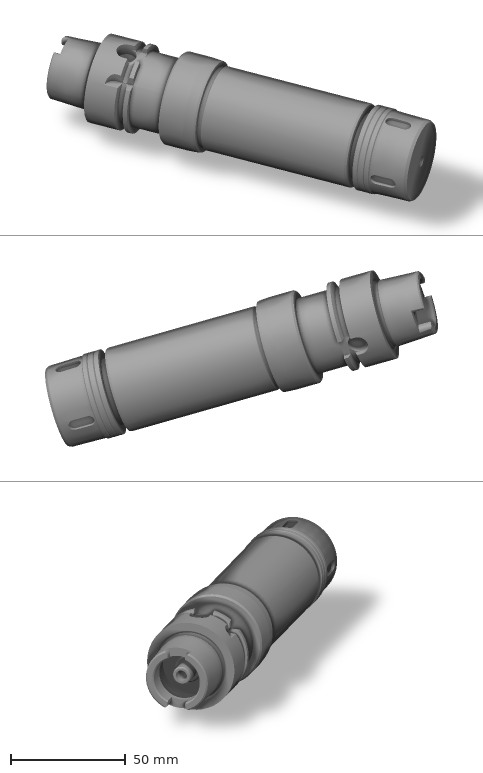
import cadquery as cq
import math


SHANK_LENGTH = 20.0
TAPER_RATIO = 0.1
TAPER_LARGE_D = 30.3
SHANK_CHAMFER = 0.6
RELIEF_START = -2.1
RELIEF_D = 28.8
RELIEF_RUN_IN = 0.5
RELIEF_FLOOR_END = -0.6
FACE_RECESS_D = 32.6
FACE_RECESS_INNER_D = 31.0
FACE_RECESS_DEPTH = 0.4

FLANGE_D = 40.0
FLANGE_LENGTH = 20.0
NECK_D = 34.2
GROOVE_LEFT = 14.1
GROOVE_FLOOR_LEFT = 14.9
GROOVE_FLOOR_RIGHT = 16.9
GROOVE_RIGHT = 18.1

COLLAR_START = 35.0
COLLAR_END = 52.1
COLLAR_D = 42.0
COLLAR_STEP_X = 46.7
COLLAR_REAR_D = 41.4
COLLAR_CHAMFER = 0.9
COLLAR_CHAMFER_DEPTH = 0.7
COLLAR_REAR_CHAMFER = 0.9
COLLAR_REAR_CHAMFER_DEPTH = 0.2

BODY_NECK_D = 36.4
BODY_START = 53.8
BODY_END = 122.1
BODY_D = 37.85
BODY_FRONT_CHAMFER = 0.6
BODY_REAR_CHAMFER = 1.0
BODY_REAR_CHAMFER_DEPTH = 0.3
NUT_NECK_D = 30.0

NUT_START = 125.1
NUT_END = 150.0
RING_D = 38.4
RING_END = 132.8
RING_END_CHAMFER = 0.4
RING_GROOVE_CENTRES = (127.4, 130.3)
RING_GROOVE_WIDTH = 0.7
RING_GROOVE_DEPTH = 0.4
NUT_LARGE_D = 37.4
NUT_SMALL_D = 36.7
NUT_CHAMFER_LENGTH = 1.3
NUT_END_D = 35.4

SPANNER_SLOT_COUNT = 4
SPANNER_SLOT_WIDTH = 5.0
SPANNER_SLOT_LENGTH = 11.7
SPANNER_SLOT_CENTRE = 139.1
SPANNER_SLOT_FLOOR = 17.0

BORE_MOUTH_D = 22.1
BORE_D = 21.0
BORE_UNDERCUT_D = 25.5
BORE_STRAIGHT_END = -12.0
BORE_UNDERCUT_CONE = 2.0
BORE_FLOOR = 0.0
TUBE_NUT_D = 12.0
TUBE_NUT_START = -4.0
TUBE_D = 8.0
TUBE_START = -13.0
TUBE_CHAMFER = 0.5
COOLANT_HOLE_D = 5.0

DRIVE_SLOT_WIDTH = 8.0
DRIVE_SLOT_ROUND = 2.2
DRIVE_ROUND_START = 10.9
TOP_DRIVE_DEPTH = 3.2
BOTTOM_DRIVE_DEPTH = 5.8

POCKET_D = 8.8
POCKET_CENTRE_X = 12.1
POCKET_FLOOR = 14.0
POCKET_SLOT_FLOOR = 17.0
NOTCH_OFFSET = 12.0
NOTCH_START = 8.1
NOTCH_END_RADIUS = 4.0


def revolve_profile(points):
    """Turn a closed outline of (x, radius) points about the X axis."""
    return cq.Workplane("XY").polyline(points).close().revolve(360, (0, 0, 0), (1, 0, 0))


def make_outside():
    """Turned outside of the holder, from the shank end to the nut face."""
    shank_end_r = TAPER_LARGE_D / 2 - SHANK_LENGTH * TAPER_RATIO / 2
    taper_end_r = TAPER_LARGE_D / 2 + RELIEF_START * TAPER_RATIO / 2
    chamfer_r = shank_end_r + SHANK_CHAMFER * TAPER_RATIO / 2
    points = [
        (-SHANK_LENGTH, 0),
        (-SHANK_LENGTH, shank_end_r - SHANK_CHAMFER),
        (-SHANK_LENGTH + SHANK_CHAMFER, chamfer_r),
        (RELIEF_START, taper_end_r),
        (RELIEF_START + RELIEF_RUN_IN, RELIEF_D / 2),
        (RELIEF_FLOOR_END, RELIEF_D / 2),
        (FACE_RECESS_DEPTH, FACE_RECESS_INNER_D / 2),
        (0, FACE_RECESS_D / 2),
        (0, FLANGE_D / 2),
        (GROOVE_LEFT, FLANGE_D / 2),
        (GROOVE_FLOOR_LEFT, NECK_D / 2),
        (GROOVE_FLOOR_RIGHT, NECK_D / 2),
        (GROOVE_RIGHT, FLANGE_D / 2),
        (FLANGE_LENGTH, FLANGE_D / 2),
        (FLANGE_LENGTH, NECK_D / 2),
        (COLLAR_START, NECK_D / 2),
        (COLLAR_START, COLLAR_D / 2 - COLLAR_CHAMFER_DEPTH),
        (COLLAR_START + COLLAR_CHAMFER, COLLAR_D / 2),
        (COLLAR_STEP_X, COLLAR_D / 2),
        (COLLAR_END - COLLAR_REAR_CHAMFER, COLLAR_REAR_D / 2),
        (COLLAR_END, COLLAR_REAR_D / 2 - COLLAR_REAR_CHAMFER_DEPTH),
        (COLLAR_END, BODY_NECK_D / 2),
        (BODY_START, BODY_NECK_D / 2),
        (BODY_START + BODY_FRONT_CHAMFER, BODY_D / 2),
        (BODY_END - BODY_REAR_CHAMFER, BODY_D / 2),
        (BODY_END, BODY_D / 2 - BODY_REAR_CHAMFER_DEPTH),
        (BODY_END, NUT_NECK_D / 2),
        (NUT_START, NUT_NECK_D / 2),
        (NUT_START, RING_D / 2),
        (RING_END - RING_END_CHAMFER, RING_D / 2),
        (RING_END, NUT_LARGE_D / 2),
        (NUT_END - NUT_CHAMFER_LENGTH, NUT_SMALL_D / 2),
        (NUT_END, NUT_END_D / 2),
        (NUT_END, 0),
    ]
    return revolve_profile(points)


def cut_ring_grooves(body):
    """Narrow V grooves around the ring of the nut."""
    for centre in RING_GROOVE_CENTRES:
        groove = revolve_profile([
            (centre - RING_GROOVE_WIDTH / 2, RING_D / 2),
            (centre, RING_D / 2 - RING_GROOVE_DEPTH),
            (centre + RING_GROOVE_WIDTH / 2, RING_D / 2),
        ])
        body = body.cut(groove)
    return body


def cut_spanner_slots(body):
    """Round-ended flat-bottomed slots spaced evenly around the nut."""
    slot = (
        cq.Workplane("XY", origin=(SPANNER_SLOT_CENTRE, 0, SPANNER_SLOT_FLOOR))
        .slot2D(SPANNER_SLOT_LENGTH, SPANNER_SLOT_WIDTH)
        .extrude(RING_D / 2)
    )
    for index in range(SPANNER_SLOT_COUNT):
        angle = index * 360 / SPANNER_SLOT_COUNT
        body = body.cut(slot.rotate((0, 0, 0), (1, 0, 0), angle))
    return body


def cut_shank_bore(body):
    """Hollow of the shank, left around the coolant tube and its nut."""
    mouth_chamfer = (BORE_MOUTH_D - BORE_D) / 2
    hollow = revolve_profile([
        (-SHANK_LENGTH, 0),
        (-SHANK_LENGTH, BORE_MOUTH_D / 2),
        (-SHANK_LENGTH + mouth_chamfer, BORE_D / 2),
        (BORE_STRAIGHT_END, BORE_D / 2),
        (BORE_STRAIGHT_END + BORE_UNDERCUT_CONE, BORE_UNDERCUT_D / 2),
        (BORE_FLOOR, BORE_UNDERCUT_D / 2),
        (BORE_FLOOR, TUBE_NUT_D / 2),
        (TUBE_NUT_START + TUBE_CHAMFER, TUBE_NUT_D / 2),
        (TUBE_NUT_START, TUBE_NUT_D / 2 - TUBE_CHAMFER),
        (TUBE_NUT_START, TUBE_D / 2),
        (TUBE_START + TUBE_CHAMFER, TUBE_D / 2),
        (TUBE_START, TUBE_D / 2 - TUBE_CHAMFER),
        (TUBE_START, 0),
    ])
    coolant_hole = (
        cq.Workplane("YZ", origin=(-SHANK_LENGTH, 0, 0))
        .circle(COOLANT_HOLE_D / 2)
        .extrude(SHANK_LENGTH + NUT_END)
    )
    return body.cut(hollow).cut(coolant_hole)


def make_drive_slot(depth):
    """Driving slot on the +Z side, its outer edges rounded off."""
    half = DRIVE_SLOT_WIDTH / 2
    round_top = DRIVE_ROUND_START + DRIVE_SLOT_ROUND
    outer_half = half + DRIVE_SLOT_ROUND
    arc_offset = DRIVE_SLOT_ROUND * (1 - math.sqrt(0.5))
    arc_rise = DRIVE_SLOT_ROUND * math.sqrt(0.5)
    return (
        cq.Workplane("YZ", origin=(-SHANK_LENGTH, 0, 0))
        .moveTo(-half, 0)
        .lineTo(half, 0)
        .lineTo(half, DRIVE_ROUND_START)
        .threePointArc((half + arc_offset, DRIVE_ROUND_START + arc_rise), (outer_half, round_top))
        .lineTo(outer_half, TAPER_LARGE_D / 2)
        .lineTo(-outer_half, TAPER_LARGE_D / 2)
        .lineTo(-outer_half, round_top)
        .threePointArc((-half - arc_offset, DRIVE_ROUND_START + arc_rise), (-half, DRIVE_ROUND_START))
        .close()
        .extrude(depth)
    )


def cut_drive_slots(body):
    """Two opposite driving slots of different depth."""
    bottom_slot = make_drive_slot(BOTTOM_DRIVE_DEPTH).rotate((0, 0, 0), (1, 0, 0), 180)
    return body.cut(make_drive_slot(TOP_DRIVE_DEPTH)).cut(bottom_slot)


def cut_flange_pockets(body):
    """Opposite round pockets, each open to the rear of the flange through a slot."""
    pocket = (
        cq.Workplane("XY", origin=(POCKET_CENTRE_X, 0, POCKET_FLOOR))
        .circle(POCKET_D / 2)
        .extrude(FLANGE_D / 2 - POCKET_FLOOR)
    )
    slot_length = FLANGE_LENGTH - POCKET_CENTRE_X
    slot = (
        cq.Workplane("XY", origin=(POCKET_CENTRE_X + slot_length / 2, 0, POCKET_SLOT_FLOOR))
        .rect(slot_length, POCKET_D)
        .extrude(FLANGE_D / 2 - POCKET_SLOT_FLOOR)
    )
    cutter = pocket.union(slot)
    for angle in (0, 180):
        body = body.cut(cutter.rotate((0, 0, 0), (1, 0, 0), angle))
    return body


def cut_corner_notch(body):
    """Right-angled notch in the flange between -Y and +Z, with a quarter-round end wall."""
    outer_y = FLANGE_D / 2
    wall_start = NOTCH_START + NOTCH_END_RADIUS
    round_end_y = NOTCH_OFFSET + NOTCH_END_RADIUS
    arc_inset = NOTCH_END_RADIUS * (1 - math.sqrt(0.5))
    notch = (
        cq.Workplane("XY", origin=(0, 0, NOTCH_OFFSET))
        .moveTo(wall_start, -NOTCH_OFFSET)
        .lineTo(FLANGE_LENGTH, -NOTCH_OFFSET)
        .lineTo(FLANGE_LENGTH, -outer_y)
        .lineTo(NOTCH_START, -outer_y)
        .lineTo(NOTCH_START, -round_end_y)
        .threePointArc(
            (NOTCH_START + arc_inset, -NOTCH_OFFSET - arc_inset),
            (wall_start, -NOTCH_OFFSET),
        )
        .close()
        .extrude(FLANGE_D / 2 - NOTCH_OFFSET)
    )
    return body.cut(notch)


result = make_outside()
result = cut_ring_grooves(result)
result = cut_spanner_slots(result)
result = cut_shank_bore(result)
result = cut_drive_slots(result)
result = cut_flange_pockets(result)
result = cut_corner_notch(result)